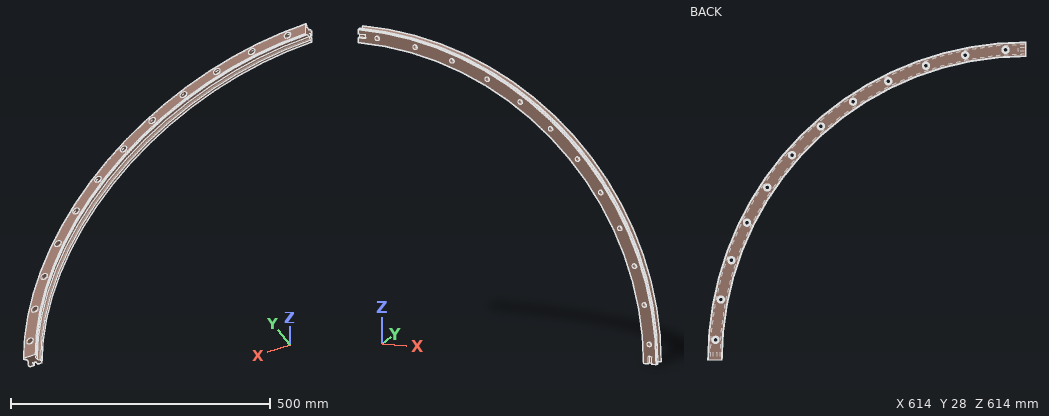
import math

import cadquery as cq

mean_radius = 600.0
rail_width = 28.0
rail_height = 28.0
groove_depth = 4.7
head_land_bottom = 24.6
groove_top = 20.7
groove_bottom = 13.0
edge_chamfer = 1.5
shoulder_depth = 2.0
shoulder_height = 9.6
base_land_top = 7.7
rail_sweep = 90.0

hole_count = 12
hole_pitch = rail_sweep / hole_count
hole_diameter = 9.0
counterbore_diameter = 14.0
counterbore_depth = 12.0

pocket_width = 7.5
pocket_length = 15.5
pocket_depth = 7.5
pocket_end_radius = 7.0


def make_rail():
    """Sweep the grooved section a quarter turn about the Y axis, from +Z round to +X."""
    half_width = rail_width / 2
    half_web = half_width - groove_depth
    outer_side = [
        (half_width - edge_chamfer, 0),
        (half_width, edge_chamfer),
        (half_width, base_land_top),
        (half_width - shoulder_depth, shoulder_height),
        (half_web, groove_bottom),
        (half_web, groove_top),
        (half_width, head_land_bottom),
        (half_width, rail_height - edge_chamfer),
        (half_width - edge_chamfer, rail_height),
    ]
    inner_side = [(-offset, height) for offset, height in reversed(outer_side)]
    section = [(mean_radius + offset, height) for offset, height in outer_side + inner_side]
    return (
        cq.Workplane("XY")
        .polyline(section)
        .close()
        .revolve(rail_sweep, (0, 0, 0), (0, -1, 0))
    )


def make_mounting_hole(angle):
    """Cutter for one counterbored hole; the angle is measured from +Z towards +X."""
    x = mean_radius * math.sin(math.radians(angle))
    z = mean_radius * math.cos(math.radians(angle))
    seat_height = rail_height - counterbore_depth
    along_y = cq.Vector(0, 1, 0)
    bore = cq.Solid.makeCylinder(hole_diameter / 2, rail_height, cq.Vector(x, 0, z), along_y)
    counterbore = cq.Solid.makeCylinder(
        counterbore_diameter / 2, counterbore_depth, cq.Vector(x, seat_height, z), along_y
    )
    return bore.fuse(counterbore)


def make_pocket():
    """Cutter for the pocket that opens through the rail end at X = 0; its far wall is an arc."""
    half_width = pocket_width / 2
    arc_rise = pocket_end_radius - math.sqrt(pocket_end_radius**2 - half_width**2)
    side_length = pocket_length - arc_rise
    return (
        cq.Workplane("XZ")
        .moveTo(0, mean_radius - half_width)
        .lineTo(side_length, mean_radius - half_width)
        .threePointArc((pocket_length, mean_radius), (side_length, mean_radius + half_width))
        .lineTo(0, mean_radius + half_width)
        .close()
        .extrude(-pocket_depth)
    )


def cut_end_pockets(rail):
    """Cut a pocket into the underside of the base at each end of the rail."""
    upper_pocket = make_pocket()
    lower_pocket = upper_pocket.rotate((0, 0, 0), (0, 1, 0), rail_sweep).mirror("XY")
    return rail.cut(upper_pocket).cut(lower_pocket)


rail = cut_end_pockets(make_rail())
for index in range(hole_count):
    rail = rail.cut(cq.Workplane(obj=make_mounting_hole((index + 0.5) * hole_pitch)))

result = rail